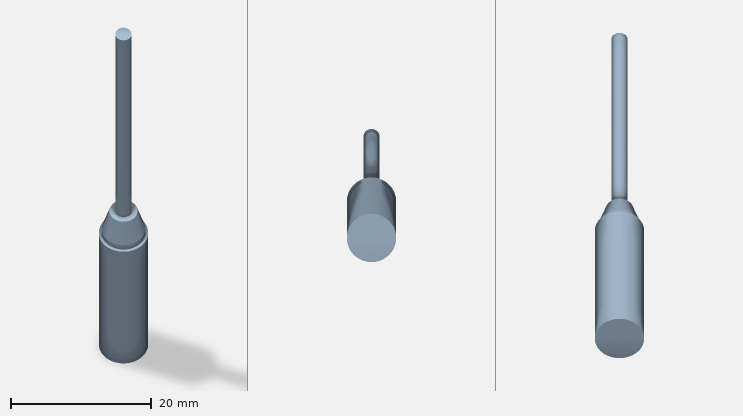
import cadquery as cq

total_height = 70.2
housing_diameter = 7.0
housing_height = 25.3
boot_base_diameter = 6.2
boot_tip_diameter = 4.0
boot_collar_height = 0.9
boot_height = 4.9
cable_diameter = 2.3

boot_top = housing_height + boot_height
cable_length = total_height - boot_top


def make_cylinder(diameter, height, base_level):
    """Solid upright cylinder on the Z axis."""
    return cq.Workplane("XY").workplane(offset=base_level).circle(diameter / 2).extrude(height)


def make_boot():
    """Strain-relief boot: a short straight collar below a tapering cone."""
    base_radius = boot_base_diameter / 2
    tip_radius = boot_tip_diameter / 2
    return (
        cq.Workplane("XZ")
        .moveTo(0, housing_height)
        .lineTo(base_radius, housing_height)
        .lineTo(base_radius, housing_height + boot_collar_height)
        .lineTo(tip_radius, boot_top)
        .lineTo(0, boot_top)
        .close()
        .revolve(360, (0, 0), (0, 1))
    )


housing = make_cylinder(housing_diameter, housing_height, 0)
boot = make_boot()
cable = make_cylinder(cable_diameter, cable_length, boot_top)

result = cq.Compound.makeCompound([housing.val(), boot.val(), cable.val()])